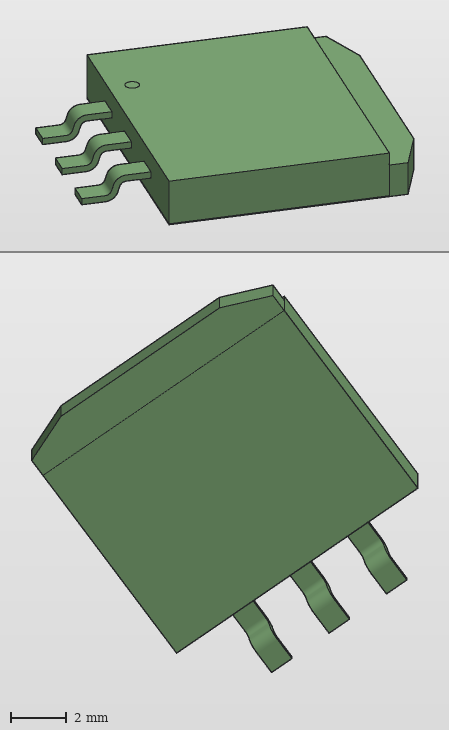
import cadquery as cq
import math

overall_width = 10.67
overall_length = 12.27
overall_height = 1.75

tab_reach = 1.44
tab_thickness = 1.27
tab_corner_width = 1.83
tab_corner_length = 0.74
base_thickness = 0.04

lead_count = 3
lead_pitch = 2.54
lead_width = 0.9
lead_thickness = 0.25
lead_reach = 2.59
lead_straight = 0.93
lead_drop = 0.72
bend_angle = math.radians(72)
bend_inner_radius = 0.25
bend_outer_radius = bend_inner_radius + lead_thickness

mark_diameter = 0.53
mark_depth = 0.05
mark_setback = 0.89

housing_length = overall_length - tab_reach - lead_reach
housing_front = -housing_length / 2
housing_back = housing_length / 2
housing_bottom = base_thickness
housing_height = overall_height - housing_bottom

first_lead_x = -lead_pitch * (lead_count - 1) / 2
mark_y = housing_front + mark_setback


def make_mark():
    """Round pin 1 mark, flush with the top of the housing above the first lead."""
    return (
        cq.Workplane("XY", origin=(first_lead_x, mark_y, overall_height))
        .circle(mark_diameter / 2)
        .extrude(-mark_depth)
    )


def make_housing():
    """Moulded block with a recess that holds the pin 1 mark."""
    block = (
        cq.Workplane("XY", origin=(0, 0, housing_bottom))
        .rect(overall_width, housing_length)
        .extrude(housing_height)
    )
    return block.cut(make_mark())


def make_tab():
    """Heat tab: a thick block with cut corners behind the housing and a thin sheet below it."""
    half_width = overall_width / 2
    tab_back = housing_back + tab_reach
    block = (
        cq.Workplane("XY")
        .moveTo(-half_width, housing_back)
        .lineTo(half_width, housing_back)
        .lineTo(half_width, tab_back - tab_corner_length)
        .lineTo(half_width - tab_corner_width, tab_back)
        .lineTo(-half_width + tab_corner_width, tab_back)
        .lineTo(-half_width, tab_back - tab_corner_length)
        .close()
        .extrude(tab_thickness)
    )
    sheet = (
        cq.Workplane("XY")
        .rect(overall_width, housing_length)
        .extrude(base_thickness)
    )
    return block.union(sheet)


def make_lead(center_x):
    """Gull-wing lead: shoulder, downward bend, sloped leg, return bend and foot."""
    foot_bottom = housing_bottom
    foot_top = foot_bottom + lead_thickness
    shoulder_top = foot_top + lead_drop
    shoulder_bottom = shoulder_top - lead_thickness
    foot_tip = housing_front - lead_reach

    bend_radii = bend_outer_radius + bend_inner_radius
    leg_drop = lead_drop - bend_radii * (1 - math.cos(bend_angle))
    leg_run = leg_drop / math.tan(bend_angle)

    upper_y = housing_front - lead_straight
    upper_z = shoulder_top - bend_outer_radius
    lower_y = upper_y - bend_radii * math.sin(bend_angle) - leg_run
    lower_z = foot_bottom + bend_outer_radius

    def upper_point(radius, angle):
        return (upper_y - radius * math.sin(angle), upper_z + radius * math.cos(angle))

    def lower_point(radius, angle):
        return (lower_y + radius * math.sin(angle), lower_z - radius * math.cos(angle))

    half_angle = bend_angle / 2
    return (
        cq.Workplane("YZ", origin=(center_x, 0, 0))
        .moveTo(housing_front, shoulder_top)
        .lineTo(*upper_point(bend_outer_radius, 0))
        .threePointArc(
            upper_point(bend_outer_radius, half_angle), upper_point(bend_outer_radius, bend_angle)
        )
        .lineTo(*lower_point(bend_inner_radius, bend_angle))
        .threePointArc(
            lower_point(bend_inner_radius, half_angle), lower_point(bend_inner_radius, 0)
        )
        .lineTo(foot_tip, foot_top)
        .lineTo(foot_tip, foot_bottom)
        .lineTo(*lower_point(bend_outer_radius, 0))
        .threePointArc(
            lower_point(bend_outer_radius, half_angle), lower_point(bend_outer_radius, bend_angle)
        )
        .lineTo(*upper_point(bend_inner_radius, bend_angle))
        .threePointArc(
            upper_point(bend_inner_radius, half_angle), upper_point(bend_inner_radius, 0)
        )
        .lineTo(housing_front, shoulder_bottom)
        .close()
        .extrude(lead_width / 2, both=True)
    )


housing = make_housing()
tab = make_tab()
mark = make_mark()
leads = [make_lead(first_lead_x + index * lead_pitch) for index in range(lead_count)]

result = cq.Compound.makeCompound(
    [housing.val(), tab.val(), mark.val(), *[lead.val() for lead in leads]]
)